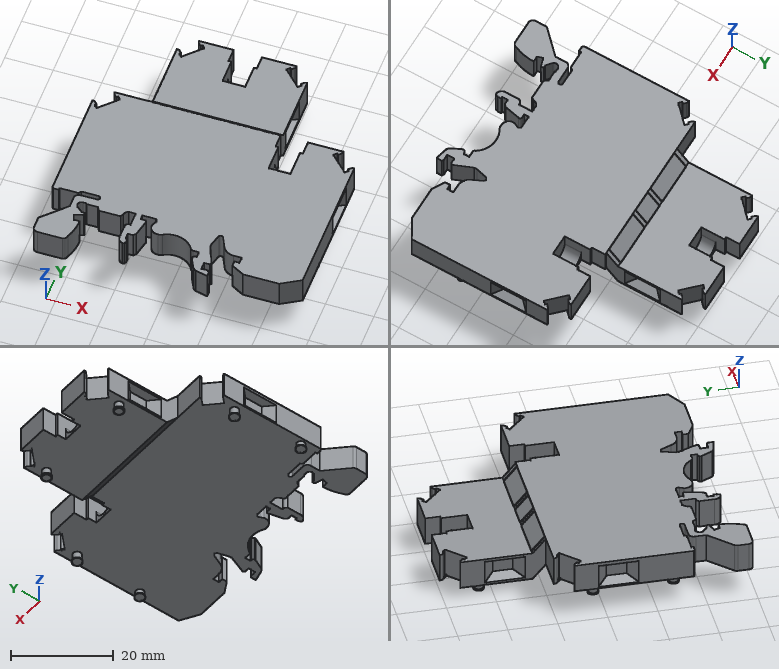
import cadquery as cq

width = 54.0
length = 59.7
height = 11.0
slab = 6.0
step = slab / 2
main_top = height
main_bottom = main_top - slab
tier_top = main_top - step
tier_bottom = main_bottom - step

main_end = 39.2
tier_start = 41.9
tier_left = 10.3
tier_width = 26.9
tier_right = tier_left + tier_width
tier_center = tier_left + tier_width / 2

lip_reach = 3.4
lip_flat = 0.4
notch_sum = 6.45
lip_radius = 0.7
undercut_depth = 0.3
undercut_run = 0.6
undercut_skin = 0.25

slot_mouth_depth = 3.05
slot_depth = 5.1
main_slot_center = 40.5
main_slot_width = 4.5
main_slot_mouth = 5.6
main_channel_end = 30.4
tier_slot_width = 4.65
tier_slot_mouth = 5.85
tier_channel_end = 51.4

funnel_length = 8.05
funnel_height = 4.9
funnel_depth = 2.0
funnel_floor_rise = 1.0
main_funnel_y = 27.0
main_funnel_top = main_top - 0.8
tier_funnel_y = 47.4
tier_funnel_top = tier_top - 0.6

panel_depth = 0.25
side_panel_width = 9.15
side_panel_offset = 7.9

stem_diameter = 1.9
head_diameter = 2.2
head_height = 0.25
tier_tip_height = 0.2
tier_pin_y = 52.25
tier_pin_inset = 1.95
middle_pin_y = 31.7
middle_pin_inset = 2.0
middle_pin_length = 1.95
low_pin_y = 15.75
low_pin_inset = 1.45
low_pin_length = 1.4

ledge = 5.3
ceiling = 10.75
foot_base = 2.7


def box(x0, x1, y0, y1, z0, z1):
    return cq.Workplane("XY").box(x1 - x0, y1 - y0, z1 - z0, centered=False).translate((x0, y0, z0))


def main_slab():
    outline = (
        cq.Workplane("XY", origin=(0, 0, main_bottom))
        .moveTo(4.85, 8.4)
        .lineTo(0.3, 3.9)
        .threePointArc((0.08, 3.6), (0, 3.2))
        .lineTo(0, 1.0)
        .threePointArc((0.3, 0.3), (1.0, 0))
        .lineTo(6.15, 0)
        .threePointArc((6.7, 0.25), (7.0, 0.85))
        .threePointArc((7.7, 3.0), (7.95, ledge))
        .lineTo(6.7, ledge)
        .lineTo(6.3, 6.5)
        .lineTo(8.2, 7.1)
        .lineTo(8.2, 7.7)
        .lineTo(7.5, 7.7)
        .lineTo(6.4, 8.65)
        .threePointArc((6.15, 9.6), (6.85, 10.15))
        .lineTo(7.6, 10.15)
        .lineTo(7.75, 9.95)
        .lineTo(10.1, 9.95)
        .lineTo(10.6, 9.15)
        .lineTo(15.05, 9.15)
        .lineTo(15.4, 9.8)
        .threePointArc((15.7, 10.45), (16.2, ceiling))
        .lineTo(17.6, ceiling)
        .lineTo(17.6, 7.7)
        .threePointArc((16.9, 7.6), (16.6, 7.15))
        .lineTo(16.6, 4.2)
        .threePointArc((16.9, 3.15), (17.6, foot_base))
        .lineTo(18.0, foot_base)
        .lineTo(18.25, 3.35)
        .lineTo(18.25, 4.05)
        .lineTo(17.85, 4.05)
        .lineTo(17.85, ledge)
        .lineTo(19.0, ledge)
        .lineTo(19.45, 5.85)
        .lineTo(20.2, 9.15)
        .threePointArc((20.2, 9.55), (19.8, 9.75))
        .lineTo(19.0, 9.75)
        .lineTo(19.0, ceiling)
        .lineTo(21.75, ceiling)
        .threePointArc((22.1, 10.4), (22.0, 9.95))
        .lineTo(21.7, 9.2)
        .threePointArc((22.0, 7.65), (23.4, 7.1))
        .threePointArc((23.9, 7.1), (24.3, 7.3))
        .threePointArc((28.0, 7.75), (30.75, 5.75))
        .threePointArc((30.9, 5.45), (31.3, ledge))
        .lineTo(32.55, ledge)
        .lineTo(32.55, 4.05)
        .lineTo(32.1, 4.05)
        .lineTo(31.75, 3.75)
        .lineTo(31.75, 3.35)
        .lineTo(32.95, 0.95)
        .lineTo(33.5, 0.6)
        .lineTo(36.05, 0)
        .lineTo(36.05, 1.2)
        .lineTo(35.7, 1.45)
        .lineTo(34.4, 1.45)
        .lineTo(34.4, 3.05)
        .lineTo(35.5, 3.05)
        .lineTo(35.8, 3.35)
        .lineTo(34.15, 7.4)
        .lineTo(34.15, 8.0)
        .lineTo(34.8, 10.45)
        .threePointArc((35.3, ceiling), (35.75, 10.45))
        .lineTo(36.7, 8.4)
        .threePointArc((37.7, 7.15), (39.15, 6.7))
        .lineTo(40.9, 6.7)
        .lineTo(40.9, ledge)
        .lineTo(39.8, ledge)
        .lineTo(39.8, 4.2)
        .lineTo(42.5, foot_base)
        .lineTo(49.95, foot_base)
        .lineTo(width, 5.1)
        .lineTo(width, main_end)
        .lineTo(0, main_end)
        .lineTo(0, 12.0)
        .lineTo(0.3, 11.7)
        .lineTo(1.45, 11.7)
        .lineTo(1.45, 12.2)
        .lineTo(5.3, 12.2)
        .lineTo(5.75, 12.7)
        .lineTo(9.25, 12.7)
        .threePointArc((9.75, 12.25), (9.25, 11.75))
        .lineTo(5.8, 11.75)
        .threePointArc((5.1, 11.4), (4.85, 10.55))
        .close()
    )
    return outline.extrude(slab)


def tier_slab():
    """Outer tier together with the slope that joins it to the main slab."""
    profile = [
        (main_end, main_bottom),
        (tier_start, tier_bottom),
        (length, tier_bottom),
        (length, tier_top),
        (tier_start, tier_top),
        (main_end, main_top),
    ]
    return cq.Workplane("YZ", origin=(tier_left, 0, 0)).polyline(profile).close().extrude(tier_width)


def corner_notch(corner_x, inward, corner_y, bottom):
    """Slanted corner notch; inward is +1 or -1, the X direction into the slab."""

    def prism(points, base):
        placed = [(corner_x + inward * x, corner_y - y) for x, y in points]
        return cq.Workplane("XY", origin=(0, 0, base)).polyline(placed).close().extrude(slab)

    lip_rise = (notch_sum - lip_flat - lip_reach) / 2
    root = (lip_flat + lip_rise, lip_reach + lip_rise)
    tip = (lip_flat, lip_reach)
    notch = prism(
        [(0, 0), (0, lip_reach), tip, root, root[::-1], tip[::-1], (lip_reach, 0)],
        bottom,
    )
    for x, y in (tip, tip[::-1]):
        corner = (corner_x + inward * x, corner_y - y, bottom + slab / 2)
        notch = notch.edges(cq.selectors.NearestToPointSelector(corner)).fillet(lip_radius)
    start = (root[0] - undercut_run, root[1] - undercut_run)
    undercut = [
        start,
        root,
        (root[0] - undercut_depth, root[1] + undercut_depth),
        (start[0] - undercut_depth, start[1] + undercut_depth),
    ]
    mirrored = [point[::-1] for point in undercut]
    floor = bottom + undercut_skin
    return notch.union(prism(undercut, floor)).union(prism(mirrored, floor))


def screw_slot(center, slot_width, mouth_width, end, channel_end, bottom):
    """Stepped open slot that runs on as a round-bottomed channel."""
    radius = slot_width / 2
    top = bottom + slab
    middle = bottom + slab / 2
    slot_end = end - slot_depth
    mouth = box(center - mouth_width / 2, center + mouth_width / 2, end - slot_mouth_depth, end, bottom, top)
    throat = box(center - radius, center + radius, slot_end, end, bottom, top)
    channel = box(center - radius, center + radius, channel_end, slot_end, middle, top)
    round_bottom = (
        cq.Workplane("XZ", origin=(center, slot_end, middle)).circle(radius).extrude(slot_end - channel_end)
    )
    return mouth.union(throat).union(channel).union(round_bottom)


def wire_funnel(side_x, inward, center_y, top):
    """Tapered pocket with a flat roof, 45 degree cheeks and a sloping floor."""
    half = funnel_length / 2
    inner_half = half - funnel_depth
    low = top - funnel_height
    inner_low = low + funnel_floor_rise

    def rectangle(half_length, base):
        return [
            (center_y - half_length, base),
            (center_y + half_length, base),
            (center_y + half_length, top),
            (center_y - half_length, top),
        ]

    return (
        cq.Workplane("YZ", origin=(side_x, 0, 0))
        .polyline(rectangle(half, low))
        .close()
        .workplane(offset=inward * funnel_depth)
        .polyline(rectangle(inner_half, inner_low))
        .close()
        .loft(ruled=True)
    )


def slope_panel(center, panel_width):
    profile = [
        (main_end, main_top),
        (tier_start, tier_top),
        (tier_start, tier_top - panel_depth),
        (main_end, main_top - panel_depth),
    ]
    start = center - panel_width / 2
    return cq.Workplane("YZ", origin=(start, 0, 0)).polyline(profile).close().extrude(panel_width)


def pin(x, y, base, pin_length, tip):
    """Pin hanging from base: stem and wider head, with an optional tip below it."""
    bottom = base - pin_length
    stem = cq.Workplane("XY", origin=(x, y, bottom)).circle(stem_diameter / 2).extrude(pin_length)
    collar = cq.Workplane("XY", origin=(x, y, bottom + tip)).circle(head_diameter / 2).extrude(head_height)
    return stem.union(collar)


result = main_slab().union(tier_slab())

for left, right, end, bottom, funnel_y, funnel_top in (
    (0, width, main_end, main_bottom, main_funnel_y, main_funnel_top),
    (tier_left, tier_right, length, tier_bottom, tier_funnel_y, tier_funnel_top),
):
    for side_x, inward in ((left, 1), (right, -1)):
        result = result.cut(corner_notch(side_x, inward, end, bottom))
        result = result.cut(wire_funnel(side_x, inward, funnel_y, funnel_top))

result = result.cut(
    screw_slot(main_slot_center, main_slot_width, main_slot_mouth, main_end, main_channel_end, main_bottom)
)
result = result.cut(
    screw_slot(tier_center, tier_slot_width, tier_slot_mouth, length, tier_channel_end, tier_bottom)
)

result = result.cut(slope_panel(tier_center, tier_slot_width))
for side in (-1, 1):
    result = result.cut(slope_panel(tier_center + side * side_panel_offset, side_panel_width))

for left, right, inset, y, base, pin_length, tip in (
    (tier_left, tier_right, tier_pin_inset, tier_pin_y, tier_bottom, tier_bottom, tier_tip_height),
    (0, width, middle_pin_inset, middle_pin_y, main_bottom, middle_pin_length, 0),
    (0, width, low_pin_inset, low_pin_y, main_bottom, low_pin_length, 0),
):
    for x in (left + inset, right - inset):
        result = result.union(pin(x, y, base, pin_length, tip))